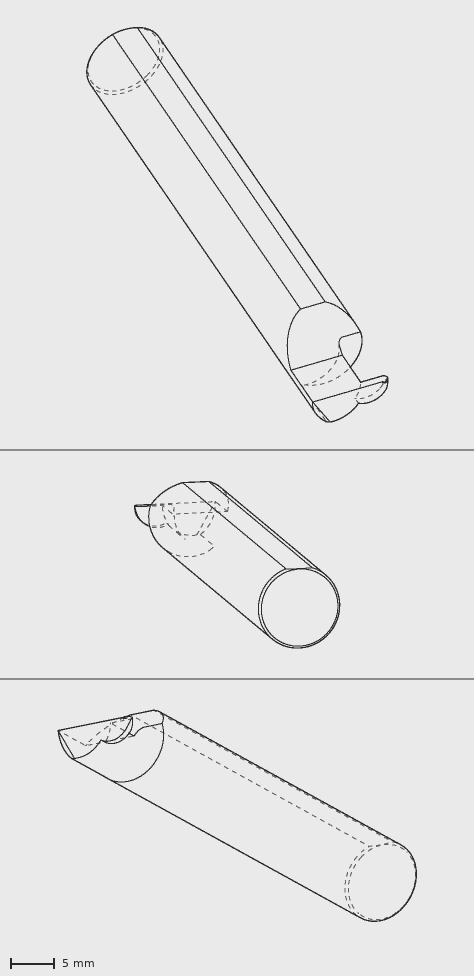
import cadquery as cq
import math

length = 63.5
shank_radius = 4.75
flat_height = 4.5
rear_chamfer = 0.285

ramp_end = 57.3
rake_height = 0.0
neck_start = 55.9
neck_side = 1.65
neck_radius = 3.8
neck_fillet = 0.65
end_face = 63.4

tooth_start = 62.4
tooth_width = end_face - tooth_start
tooth_radius = 2.55
tooth_tip = 4.75
tip_rounding = 0.45
nose_offset = 4.2
nose_half_width = 0.25
nose_depth = 0.2

clearance_length = 0.285
clearance_half_angle = 30


def cylinder(start, end, radius, center_y=0):
    """Cylinder parallel to X."""
    profile = cq.Workplane("YZ", origin=(start, center_y, 0)).circle(radius)
    return profile.extrude(end - start)


def make_shank():
    body = cylinder(0, end_face, shank_radius).faces("<X").chamfer(rear_chamfer)
    above_flat = cq.Workplane("XY", origin=(0, 0, flat_height)).rect(3 * length, 3 * length)
    return body.cut(above_flat.extrude(shank_radius))


def make_neck_envelope():
    """Full block behind the neck and a U-shaped neck, joined by a root fillet."""
    center_y = neck_side - neck_radius
    margin = 0.65
    block_size = 4 * shank_radius
    block = cq.Workplane("XY").box(neck_start + margin, 2 * block_size, 2 * block_size)
    block = block.translate(((neck_start - margin) / 2, 0, 0))
    neck = (
        cq.Workplane("YZ", origin=(neck_start, center_y, rake_height))
        .moveTo(-neck_radius, block_size)
        .lineTo(-neck_radius, 0)
        .threePointArc((0, -neck_radius), (neck_radius, 0))
        .lineTo(neck_radius, block_size)
        .close()
        .extrude(length - neck_start)
    )
    reach = neck_radius + margin
    root_edges = cq.selectors.BoxSelector(
        (neck_start - margin, center_y - reach, -reach),
        (neck_start + margin, center_y + reach, block_size - margin),
    )
    return block.union(neck).edges(root_edges).fillet(neck_fillet)


def make_tooth():
    tooth = cylinder(tooth_start, end_face, tooth_radius, tooth_tip - tooth_radius)
    plan = (
        cq.Workplane("XY", origin=(0, 0, -shank_radius))
        .center(tooth_start + tooth_width / 2, tooth_tip / 2)
        .rect(tooth_width, tooth_tip)
        .extrude(2 * shank_radius)
        .edges("|Z and >Y")
        .fillet(tip_rounding)
    )
    nose = (
        cq.Workplane("XY", origin=(0, 0, rake_height))
        .polyline([
            (end_face - nose_half_width, nose_offset),
            (end_face, nose_offset - nose_half_width),
            (length, nose_offset),
            (end_face, nose_offset + nose_half_width),
        ])
        .close()
        .extrude(-nose_depth)
    )
    return tooth.intersect(plan).union(nose)


def make_ramp_cut():
    """Opens the head above the rake face behind a 45 degree ramp."""
    height = 2 * shank_radius
    return (
        cq.Workplane("XZ")
        .moveTo(ramp_end, rake_height)
        .lineTo(ramp_end - height, rake_height + height)
        .lineTo(length + height, rake_height + height)
        .lineTo(length + height, rake_height)
        .close()
        .extrude(2 * shank_radius, both=True)
    )


def make_end_clearance():
    """Sloped cut on the lower outer side, deepest midway along the arc."""
    arc_half_angle = math.radians(clearance_half_angle)
    chord_offset = shank_radius * math.cos(arc_half_angle)
    sagitta = shank_radius - chord_offset
    slope = clearance_length / sagitta
    reach = shank_radius
    wedge = (
        cq.Workplane("XY")
        .moveTo(end_face, -chord_offset)
        .lineTo(end_face - slope * reach, -chord_offset - reach)
        .lineTo(end_face, -chord_offset - reach)
        .close()
        .extrude(shank_radius, both=True)
    )
    return wedge.rotate((0, 0, 0), (1, 0, 0), clearance_half_angle)


result = make_shank().intersect(make_neck_envelope()).cut(make_end_clearance())
result = result.union(make_tooth()).cut(make_ramp_cut())